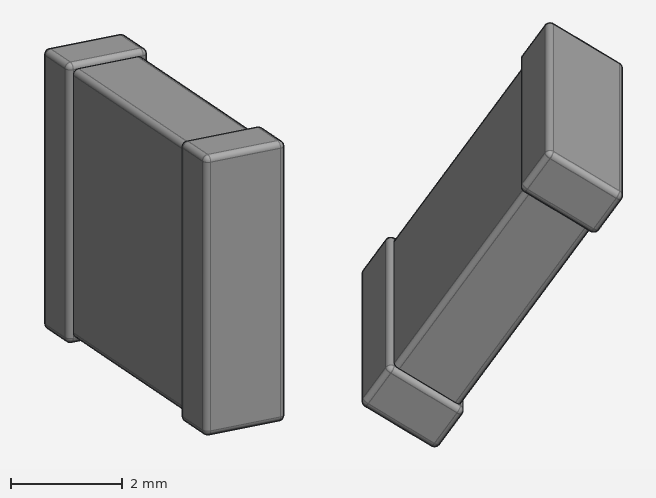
import cadquery as cq

LENGTH = 6.1
DEPTH = 1.65
HEIGHT = 5.4

CAP_LENGTH = 0.95
EDGE_RADIUS = 0.11

BODY_LENGTH = LENGTH - 2 * CAP_LENGTH
BODY_DEPTH = DEPTH - 2 * EDGE_RADIUS
BODY_HEIGHT = HEIGHT - 2 * EDGE_RADIUS

CAP_CENTRE_X = (LENGTH - CAP_LENGTH) / 2


def make_body():
    """Plain block between the caps, rounded along its four X edges."""
    block = cq.Workplane("XY").box(BODY_LENGTH, BODY_DEPTH, BODY_HEIGHT)
    return block.edges("|X").fillet(EDGE_RADIUS)


def make_end_cap(side):
    """Block rounded on every edge; side is -1 for the -X end and +1 for the +X end."""
    block = cq.Workplane("XY").box(CAP_LENGTH, DEPTH, HEIGHT)
    return block.edges().fillet(EDGE_RADIUS).translate((side * CAP_CENTRE_X, 0, 0))


body = make_body()
end_caps = [make_end_cap(side) for side in (-1, 1)]

result = cq.Compound.makeCompound([body.val(), *[cap.val() for cap in end_caps]])